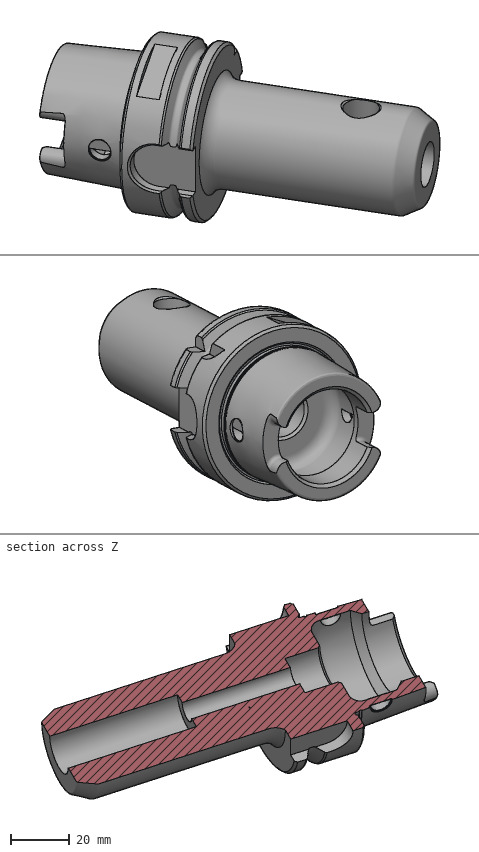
import cadquery as cq
import math

LENGTH = 133.6

MARGIN = 1.3

SHANK_END_R = 22.8
SHANK_BIG_R = 24.11
RELIEF_R = 23.8
RELIEF_START = 30.0
RELIEF_END = 31.0
SHANK_LIP_ROUND = 1.0
BORE_R = 17.0
BORE_CHAMFER = 1.2
BORE_STEP_DEPTH = 12.3
CAVITY_R = 40.0 / 2
CAVITY_FLOOR = 31.4
CAVITY_FLOOR_ROUND = 4.3

SLOT_HALF_WIDTH = 6.3
FRONT_SLOT_DEPTH = 9.6
BACK_SLOT_DEPTH = 5.6
SLOT_FLOOR_ROUND = 1.3
ARM_ROUND = 3.5
ARM_ROUND_TOP_Y = 20.6

ACCESS_X = 22.7
ACCESS_R = 3.7
ACCESS_MOUTH_R = 4.1
ACCESS_MOUTH_Y = 23.1

COOLANT_SEAT_R = 8.5
COOLANT_SEAT_MOUTH_R = 9.5
COOLANT_SEAT_DEPTH = 13.4
COOLANT_R = 4.0

FLANGE_R = 31.5
FLANGE_START = 32.0
FLANGE_END = 58.0
FLANGE_EDGE = 1.0
GROOVE_R = 27.5
GROOVE_FLOOR_START = 48.8
GROOVE_FLOOR_END = 51.2
GROOVE_SLOPE = math.radians(30)
GROOVE_RIM_DROP = 0.4
GROOVE_FLOOR_ROUND = 1.0
FACE_GROOVE_R = 25.5
FACE_GROOVE_DEPTH = 0.7

KEYWAY_FLOOR_Y = 26.5
KEYWAY_CENTRE_X = 44.8
FRONT_KEYWAY_HALF_WIDTH = 9.0
BACK_KEYWAY_HALF_WIDTH = 8.0
KEYWAY_MOUTH_Y = 28.0
KEYWAY_EDGE = 0.8
NOTCH_Y = 19.9
NOTCH_Z = 20.0
NOTCH_END_R = 7.6
FLAT_START = 35.4
FLAT_LENGTH = 8.1
FLAT_DISTANCE = 29.3
FLAT_TILT = 22.0

NOSE_R = 19.04
NOSE_COVE_R = 5.7
NOSE_COVE_END = 62.9
NOSE_CONE_START = 127.0
NOSE_CONE_ANGLE = math.radians(30)
NOSE_CONE_BLEND = 1.6
NOSE_TIP_ROUND = 1.1
TOOL_BORE_R = 15.9 / 2
TOOL_BORE_DEPTH = 48.1

SCREW_X = 109.7
SCREW_R = 12.7 / 2
SCREW_MOUTH_R = 14.0 / 2


def cylinder(start, direction, radius, length):
    return cq.Workplane(obj=cq.Solid.makeCylinder(radius, length, cq.Vector(*start), cq.Vector(*direction)))


def revolve(profile):
    return profile.close().revolve(360, (0, 0, 0), (1, 0, 0))


def box(x0, x1, y0, y1, z0, z1):
    return cq.Workplane("XY").box(x1 - x0, y1 - y0, z1 - z0, centered=False).translate((x0, y0, z0))


def make_shank():
    outside = revolve(
        cq.Workplane("XY")
        .lineTo(0, SHANK_END_R)
        .lineTo(RELIEF_START, SHANK_BIG_R)
        .lineTo(RELIEF_START, RELIEF_R)
        .lineTo(RELIEF_END, RELIEF_R)
        .lineTo(RELIEF_END, SHANK_BIG_R)
        .lineTo(FLANGE_START, SHANK_BIG_R)
        .lineTo(FLANGE_START, 0)
    )
    shank = outside.edges("<X").fillet(SHANK_LIP_ROUND)
    shank = shank.cut(make_shank_bore())
    for side, depth in ((-1, FRONT_SLOT_DEPTH), (1, BACK_SLOT_DEPTH)):
        shank = shank.cut(make_driving_slot(side, depth))
    return shank


def make_shank_bore():
    cavity_start = BORE_STEP_DEPTH + CAVITY_R - BORE_R
    bore = revolve(
        cq.Workplane("XY")
        .lineTo(0, BORE_R + BORE_CHAMFER)
        .lineTo(BORE_CHAMFER, BORE_R)
        .lineTo(BORE_STEP_DEPTH, BORE_R)
        .lineTo(cavity_start, CAVITY_R)
        .lineTo(CAVITY_FLOOR, CAVITY_R)
        .lineTo(CAVITY_FLOOR, 0)
    )
    return bore.edges(">X").fillet(CAVITY_FLOOR_ROUND)


def make_driving_slot(side, depth):
    """Slot whose walls curve outwards to round the ends of the two driving arms."""
    arc_start = ARM_ROUND_TOP_Y - ARM_ROUND
    arc_end_z = SLOT_HALF_WIDTH + ARM_ROUND
    half = (
        cq.Workplane("YZ")
        .lineTo(0, SLOT_HALF_WIDTH)
        .lineTo(arc_start, SLOT_HALF_WIDTH)
        .radiusArc((ARM_ROUND_TOP_Y, arc_end_z), -ARM_ROUND)
        .lineTo(ARM_ROUND_TOP_Y, SHANK_END_R)
        .lineTo(SHANK_END_R + MARGIN, SHANK_END_R)
        .lineTo(SHANK_END_R + MARGIN, 0)
        .close()
        .extrude(depth)
    )
    slot = half.union(half.mirror("XY"))
    slot = slot.edges(">X").fillet(SLOT_FLOOR_ROUND)
    return slot.mirror("XZ") if side < 0 else slot


def make_flange():
    disc = cylinder((FLANGE_START, 0, 0), (1, 0, 0), FLANGE_R, FLANGE_END - FLANGE_START)
    chamfered_disc = disc.edges("<X or >X").chamfer(FLANGE_EDGE)
    flange = disc.cut(make_keyway(FRONT_KEYWAY_HALF_WIDTH).mirror("XZ"))
    flange = chamfer_front_keyway(flange).cut(make_keyway(BACK_KEYWAY_HALF_WIDTH))
    flange = flange.intersect(chamfered_disc).cut(make_gripper_groove()).cut(make_face_groove())
    return flange.cut(make_orientation_notch()).cut(make_flange_flat())


def make_gripper_groove():
    """V groove with a flat floor and rounded floor corners; its rims are broken by a flatter cone."""
    rim_r = FLANGE_R - GROOVE_RIM_DROP
    slope_run = (rim_r - GROOVE_R) * math.tan(GROOVE_SLOPE)
    rim_run = GROOVE_RIM_DROP / math.tan(GROOVE_SLOPE)
    groove = revolve(
        cq.Workplane("XY")
        .moveTo(GROOVE_FLOOR_START - slope_run - rim_run, FLANGE_R)
        .lineTo(GROOVE_FLOOR_START - slope_run, rim_r)
        .lineTo(GROOVE_FLOOR_START, GROOVE_R)
        .lineTo(GROOVE_FLOOR_END, GROOVE_R)
        .lineTo(GROOVE_FLOOR_END + slope_run, rim_r)
        .lineTo(GROOVE_FLOOR_END + slope_run + rim_run, FLANGE_R)
    )
    return groove.edges(cq.selectors.RadiusNthSelector(0)).fillet(GROOVE_FLOOR_ROUND)


def make_face_groove():
    """Shallow ring groove in the flange face around the foot of the shank."""
    floor_x = FLANGE_START + FACE_GROOVE_DEPTH
    return revolve(
        cq.Workplane("XY")
        .moveTo(FLANGE_START, SHANK_BIG_R)
        .lineTo(FLANGE_START, FACE_GROOVE_R)
        .lineTo(floor_x, FACE_GROOVE_R - FACE_GROOVE_DEPTH)
        .lineTo(floor_x, SHANK_BIG_R)
    )


def make_keyway(half_width):
    """Round-ended keyway on the +Y side, open at the back of the flange."""
    reach = FLANGE_R - KEYWAY_FLOOR_Y
    straight = box(KEYWAY_CENTRE_X, FLANGE_END, KEYWAY_FLOOR_Y, FLANGE_R, -half_width, half_width)
    return straight.union(cylinder((KEYWAY_CENTRE_X, KEYWAY_FLOOR_Y, 0), (0, 1, 0), half_width, reach))


def chamfer_front_keyway(flange):
    reach = FRONT_KEYWAY_HALF_WIDTH + MARGIN
    mouth = cq.selectors.BoxSelector(
        (FLANGE_START + MARGIN, -KEYWAY_MOUTH_Y, -reach),
        (FLANGE_END - MARGIN, -FLANGE_R - MARGIN, reach),
    )
    return flange.edges(mouth).chamfer(KEYWAY_EDGE)


def make_orientation_notch():
    """Corner notch between +Y and +Z with one horizontal and one vertical wall."""
    end_centre = (KEYWAY_CENTRE_X, NOTCH_Y, NOTCH_Z + NOTCH_END_R)
    end = cylinder(end_centre, (0, 1, 0), NOTCH_END_R, FLANGE_R - NOTCH_Y)
    straight = box(KEYWAY_CENTRE_X, FLANGE_END, NOTCH_Y, FLANGE_R, NOTCH_Z, FLANGE_R)
    return straight.union(end)


def make_flange_flat():
    slab = box(FLAT_START, FLAT_START + FLAT_LENGTH, -FLANGE_R, FLANGE_R, FLAT_DISTANCE, FLANGE_R + MARGIN)
    return slab.rotate((0, 0, 0), (1, 0, 0), FLAT_TILT)


def make_nose():
    cove_bottom = NOSE_R + NOSE_COVE_R
    cove_angle = math.asin((NOSE_COVE_END - FLANGE_END) / NOSE_COVE_R)
    cove_start_r = cove_bottom - NOSE_COVE_R * math.cos(cove_angle)
    cove_middle = (
        NOSE_COVE_END - NOSE_COVE_R * math.sin(cove_angle / 2),
        cove_bottom - NOSE_COVE_R * math.cos(cove_angle / 2),
    )
    nose = revolve(
        cq.Workplane("XY")
        .moveTo(FLANGE_END, 0)
        .lineTo(FLANGE_END, cove_start_r)
        .threePointArc(cove_middle, (NOSE_COVE_END, NOSE_R))
        .lineTo(NOSE_CONE_START, NOSE_R)
        .lineTo(LENGTH, NOSE_R - (LENGTH - NOSE_CONE_START) * math.tan(NOSE_CONE_ANGLE))
        .lineTo(LENGTH, 0)
    )
    nose = nose.edges(">X").fillet(NOSE_TIP_ROUND)
    cone_rim = cq.NearestToPointSelector((NOSE_CONE_START, 0, NOSE_R))
    return nose.edges(cone_rim).fillet(NOSE_CONE_BLEND)


def make_through_passage():
    """Coolant passage from the shank cavity to the tool bore, with a stepped seat."""
    chamfer = COOLANT_SEAT_MOUTH_R - COOLANT_SEAT_R
    seat_floor = CAVITY_FLOOR + COOLANT_SEAT_DEPTH
    tool_bore_floor = LENGTH - TOOL_BORE_DEPTH
    return revolve(
        cq.Workplane("XY")
        .moveTo(CAVITY_FLOOR, 0)
        .lineTo(CAVITY_FLOOR, COOLANT_SEAT_MOUTH_R)
        .lineTo(CAVITY_FLOOR + chamfer, COOLANT_SEAT_R)
        .lineTo(seat_floor, COOLANT_SEAT_R)
        .lineTo(seat_floor, COOLANT_R)
        .lineTo(tool_bore_floor, COOLANT_R)
        .lineTo(tool_bore_floor, TOOL_BORE_R)
        .lineTo(LENGTH, TOOL_BORE_R)
        .lineTo(LENGTH, 0)
    )


def make_screw_hole():
    """Clamping screw hole from the top of the nose into the tool bore, with a conical mouth."""
    mouth_depth = SCREW_MOUTH_R - SCREW_R
    mouth = cq.Solid.makeCone(
        SCREW_R, SCREW_MOUTH_R, mouth_depth, cq.Vector(SCREW_X, 0, NOSE_R - mouth_depth), cq.Vector(0, 0, 1)
    )
    return cylinder((SCREW_X, 0, 0), (0, 0, 1), SCREW_R, NOSE_R + MARGIN).union(cq.Workplane(obj=mouth))


def make_access_hole(side):
    """Radial hole: its mouth is a full circle, and only its lower half reaches the cavity."""
    mouth = cylinder((ACCESS_X, side * ACCESS_MOUTH_Y, 0), (0, side, 0), ACCESS_MOUTH_R, SHANK_BIG_R)
    below = box(0, FLANGE_START, -FLANGE_R, FLANGE_R, -ACCESS_R, 0)
    lower_half = cylinder((ACCESS_X, 0, 0), (0, side, 0), ACCESS_R, SHANK_BIG_R).intersect(below)
    return mouth.union(lower_half)


shank = make_shank()
flange = make_flange()
nose = make_nose()
result = shank.union(flange).union(nose)
result = result.cut(make_through_passage()).cut(make_screw_hole())
for side in (-1, 1):
    result = result.cut(make_access_hole(side))